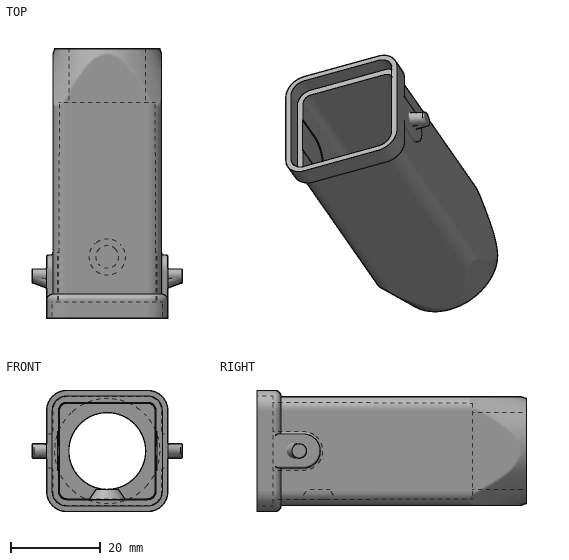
import cadquery as cq

LENGTH = 60.0
CORNER_CENTRE = 9.0
BODY_HALF = 12.1
COLLAR_HALF = 13.5
COLLAR_LENGTH = 5.4
COLLAR_ROUND = 1.45

NOSE_END_RADIUS = 11.7
NOSE_SLOPE = 0.325
NOSE_LENGTH = 24.0
NOSE_EDGE_ROUND = 0.9

MOUTH_HALF = 12.25
MOUTH_DEPTH = 3.6
BORE_FRONT_HALF = 10.85
BORE_BACK_HALF = 10.6
END_WALL = 12.0
CABLE_HOLE_RADIUS = 8.5
STUD_Y = 13.7
STUD_BASE_RADIUS = 4.1
STUD_TOP_RADIUS = 2.5
STUD_HEIGHT = 2.3

LUG_Y = 10.3
LUG_RADIUS = 3.8
LUG_EDGE_ROUND = 0.35
LUG_ROOT_ROUND = 0.5
RECESS_RADIUS = 4.3
RECESS_HALF_SPAN = 11.05

PIN_Y = 9.4
PIN_RADIUS = 1.6
PIN_SPAN = 33.4
PIN_TIP_X = PIN_SPAN / 2
PIN_TIP_ROUND = 0.25
PIN_ROOT_ROUND = 0.2
TAIL_RADIUS = 1.55
TAIL_TIP_Y = 9.4
TAIL_ROOT_Y = 8.3

OVERLAP = 0.6
MARGIN = 0.1


def square_outline(half):
    sketch = cq.Sketch().rect(2 * half, 2 * half)
    return sketch.vertices().fillet(half - CORNER_CENTRE)


def square_bar(half, length):
    return cq.Workplane("XZ").placeSketch(square_outline(half)).extrude(-length)


def side_plane(x, y=0):
    """Plane facing +X whose local axes are Y and Z."""
    return cq.Workplane("YZ", origin=(x, y, 0))


def tongue(x_start, x_end, radius):
    """Slab running from the open end to a round tip centred at LUG_Y."""
    return (
        side_plane(x_start)
        .moveTo(0, -radius)
        .lineTo(LUG_Y, -radius)
        .threePointArc((LUG_Y + radius, 0), (LUG_Y, radius))
        .lineTo(0, radius)
        .close()
        .extrude(x_end - x_start)
    )


def edges_within(corner, opposite_corner):
    return cq.selectors.BoxSelector(corner, opposite_corner)


def make_body():
    """Square bar cut to a cone at the far end, the resulting scalloped edges rounded."""
    cone_start = LENGTH - NOSE_LENGTH
    cone_start_radius = NOSE_END_RADIUS + NOSE_SLOPE * NOSE_LENGTH
    envelope = (
        cq.Workplane("XY")
        .moveTo(0, 0)
        .lineTo(cone_start_radius, 0)
        .lineTo(cone_start_radius, cone_start)
        .lineTo(NOSE_END_RADIUS, LENGTH)
        .lineTo(0, LENGTH)
        .close()
        .revolve(360, (0, 0, 0), (0, 1, 0))
    )
    body = square_bar(BODY_HALF, LENGTH).intersect(envelope)
    nose_edges = edges_within(
        (-COLLAR_HALF, cone_start, -COLLAR_HALF),
        (COLLAR_HALF, LENGTH - MARGIN, COLLAR_HALF),
    )
    return body.edges(nose_edges).edges("not %LINE").fillet(NOSE_EDGE_ROUND)


def make_collar():
    return square_bar(COLLAR_HALF, COLLAR_LENGTH).faces(">Y").edges().fillet(COLLAR_ROUND)


def make_lug():
    lug = tongue(BODY_HALF - OVERLAP, COLLAR_HALF, LUG_RADIUS)
    return lug.faces(">X").edges("not <Y").fillet(LUG_EDGE_ROUND)


def make_pin():
    root_x = COLLAR_HALF - OVERLAP
    shaft = side_plane(root_x, PIN_Y).circle(PIN_RADIUS).extrude(PIN_TIP_X - root_x)
    shaft = shaft.faces(">X").edges().fillet(PIN_TIP_ROUND)
    tail = (
        side_plane(COLLAR_HALF, TAIL_ROOT_Y)
        .circle(TAIL_RADIUS)
        .workplane(offset=PIN_TIP_X - PIN_TIP_ROUND - COLLAR_HALF)
        .center(TAIL_TIP_Y - TAIL_ROOT_Y, 0)
        .circle(TAIL_RADIUS)
        .loft()
    )
    return shaft.union(tail)


def add_to_both_sides(solid, feature):
    return solid.union(feature).union(feature.mirror("YZ"))


def round_on_both_sides(solid, x, y_start, y_end, half_width, radius):
    """Round the edges lying in the planes X = +-x inside the given Y and Z range."""
    for centre in (x, -x):
        picked = edges_within(
            (centre - MARGIN, y_start, -half_width),
            (centre + MARGIN, y_end, half_width),
        )
        solid = solid.edges(picked).fillet(radius)
    return solid


def make_cavity():
    to_bore_back = cq.Location(cq.Vector(0, 0, END_WALL - LENGTH))
    front = square_outline(BORE_FRONT_HALF)
    back = square_outline(BORE_BACK_HALF).moved(to_bore_back)
    bore = cq.Workplane("XZ").placeSketch(front, back).loft()
    mouth = square_bar(MOUTH_HALF, MOUTH_DEPTH)
    recesses = tongue(-RECESS_HALF_SPAN, RECESS_HALF_SPAN, RECESS_RADIUS)
    cable_hole = cq.Workplane("XZ").circle(CABLE_HOLE_RADIUS).extrude(-LENGTH)
    return bore.union(mouth).union(recesses).union(cable_hole)


def make_stud():
    """Conical stud standing on the bore floor."""
    return (
        cq.Workplane("XY", origin=(0, STUD_Y, -BORE_FRONT_HALF))
        .circle(STUD_BASE_RADIUS)
        .workplane(offset=STUD_HEIGHT)
        .circle(STUD_TOP_RADIUS)
        .loft()
    )


shell = make_body().union(make_collar())

shell = add_to_both_sides(shell, make_lug())
lug_end = LUG_Y + LUG_RADIUS + MARGIN
shell = round_on_both_sides(shell, BODY_HALF, COLLAR_LENGTH, lug_end, RECESS_RADIUS, LUG_ROOT_ROUND)

shell = add_to_both_sides(shell, make_pin())
pin_root_start = TAIL_ROOT_Y - TAIL_RADIUS - MARGIN
pin_root_end = PIN_Y + PIN_RADIUS + MARGIN
shell = round_on_both_sides(
    shell, COLLAR_HALF, pin_root_start, pin_root_end, PIN_RADIUS + MARGIN, PIN_ROOT_ROUND
)

result = shell.cut(make_cavity()).union(make_stud())